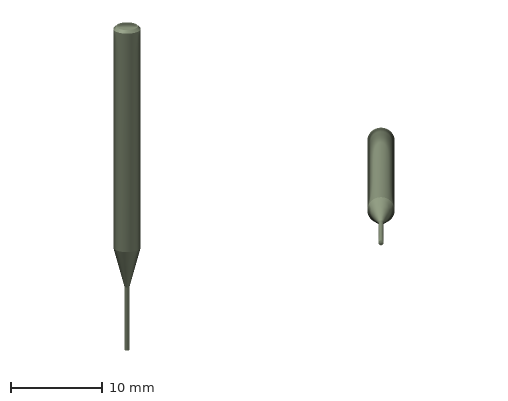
import cadquery as cq

TOTAL_LENGTH = 38.0
SHANK_RADIUS = 1.5
SHANK_CHAMFER = 0.3

TIP_LENGTH = 2.4
NECK_TOP = 7.5
CONE_TOP = 12.1

NECK_RADIUS = 0.277
TIP_RADIUS = 0.28
POINT_HEIGHT = 0.08


def revolve_about_z(plane, outline):
    """Solid of revolution about Z from (offset, height) points on a vertical plane."""
    return cq.Workplane(plane).polyline(outline).close().revolve(360, (0, 0, 0), (0, 1, 0))


def make_holder():
    """Chamfered shank, cone and neck, with the seam on the -Y side."""
    outline = [
        (0, TIP_LENGTH),
        (-NECK_RADIUS, TIP_LENGTH),
        (-NECK_RADIUS, NECK_TOP),
        (-SHANK_RADIUS, CONE_TOP),
        (-SHANK_RADIUS, TOTAL_LENGTH - SHANK_CHAMFER),
        (-(SHANK_RADIUS - SHANK_CHAMFER), TOTAL_LENGTH),
        (0, TOTAL_LENGTH),
    ]
    return revolve_about_z("YZ", outline)


def make_cutting_tip():
    """Cutting tip with a shallow conical point, with the seam on the -X side."""
    outline = [
        (0, 0),
        (-TIP_RADIUS, POINT_HEIGHT),
        (-TIP_RADIUS, TIP_LENGTH),
        (0, TIP_LENGTH),
    ]
    return revolve_about_z("XZ", outline)


holder = make_holder()
cutting_tip = make_cutting_tip()

result = cq.Compound.makeCompound([holder.val(), cutting_tip.val()])